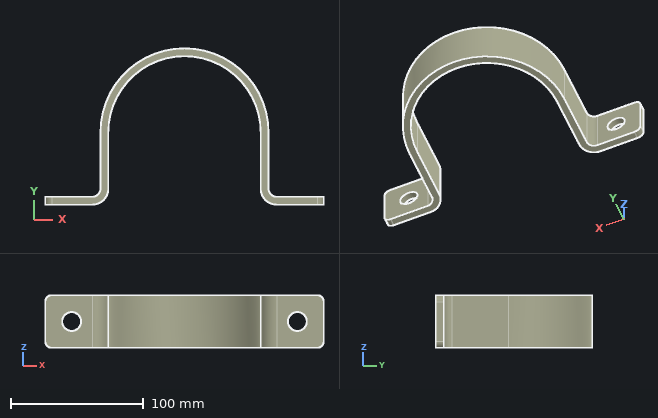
import cadquery as cq

length = 210.0
depth = 118.0
width = 40.0
thickness = 6.0

saddle_outer_radius = 63.5
bend_inner_radius = 6.0
foot_corner_radius = 5.0
hole_diameter = 14.0
hole_spacing = 170.0

saddle_inner_radius = saddle_outer_radius - thickness
bend_outer_radius = bend_inner_radius + thickness
saddle_center_y = depth - saddle_outer_radius
bend_center_x = saddle_outer_radius + bend_inner_radius


def half_disc_and_legs(radius):
    """Solid U shape: a half disc on a rectangle reaching down to y = 0."""
    return (
        cq.Workplane("XY")
        .moveTo(-radius, 0)
        .lineTo(-radius, saddle_center_y)
        .threePointArc((0, saddle_center_y + radius), (radius, saddle_center_y))
        .lineTo(radius, 0)
        .close()
        .extrude(width)
    )


def make_foot(side):
    """Foot with its bend material; side is -1 for left and +1 for right."""
    inner_x = side * saddle_inner_radius
    outer_x = side * saddle_outer_radius
    center_x = side * bend_center_x
    end_x = side * length / 2
    bend_center_y = bend_outer_radius
    diagonal = 0.5 ** 0.5

    def bend_middle(radius):
        return (center_x - side * radius * diagonal, bend_center_y - radius * diagonal)

    foot = (
        cq.Workplane("XY")
        .moveTo(inner_x, bend_center_y)
        .threePointArc(bend_middle(bend_outer_radius), (center_x, 0))
        .lineTo(end_x, 0)
        .lineTo(end_x, thickness)
        .lineTo(center_x, thickness)
        .threePointArc(bend_middle(bend_inner_radius), (outer_x, bend_center_y))
        .close()
        .extrude(width)
    )
    end_face = ">X" if side > 0 else "<X"
    foot = foot.faces(end_face).edges("|Y").fillet(foot_corner_radius)
    hole = (
        cq.Workplane("XZ")
        .center(side * hole_spacing / 2, width / 2)
        .circle(hole_diameter / 2)
        .extrude(-thickness)
    )
    return foot.cut(hole)


below_legs = cq.Workplane("XY").box(length, bend_outer_radius, width, centered=(True, False, False))
saddle = half_disc_and_legs(saddle_outer_radius).cut(half_disc_and_legs(saddle_inner_radius))
saddle = saddle.cut(below_legs)

strap = saddle
for side in (-1, 1):
    strap = strap.union(make_foot(side))

result = strap.translate((0, 0, -width / 2))